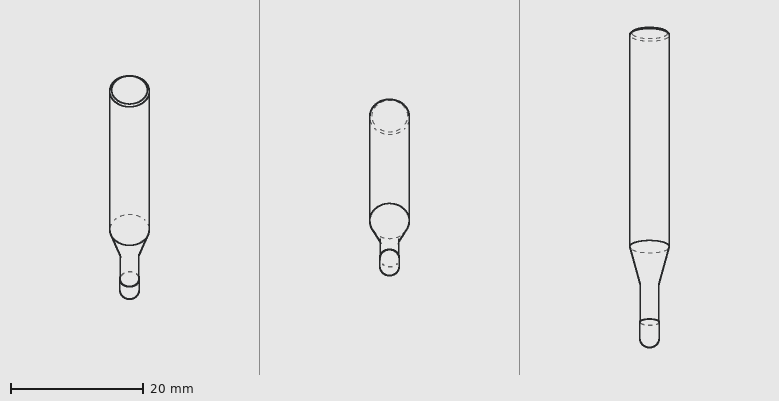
import cadquery as cq
import math

total_length = 50.0
shank_diameter = 6.0
head_diameter = 3.0
neck_diameter = 2.85

head_length = 4.0
neck_length = 6.0
taper_length = 6.0
shank_chamfer = 0.3

shank_radius = shank_diameter / 2
head_radius = head_diameter / 2
neck_radius = neck_diameter / 2
neck_end_z = head_length + neck_length
taper_end_z = neck_end_z + taper_length


def revolve_about_axis(half_profile):
    """Turn a closed half profile, drawn as (radius, z), about the Z axis."""
    return half_profile.revolve(360, (0, 0, 0), (0, 1, 0))


def make_cutting_head():
    """Cylinder with a hemispherical tip."""
    arc_offset = head_radius * math.sqrt(0.5)
    arc_middle = (arc_offset, head_radius - arc_offset)
    half_profile = (
        cq.Workplane("XZ")
        .moveTo(0, 0)
        .threePointArc(arc_middle, (head_radius, head_radius))
        .lineTo(head_radius, head_length)
        .lineTo(0, head_length)
        .close()
    )
    return revolve_about_axis(half_profile)


def make_neck():
    """Relieved cylinder behind the head, widening in a cone up to the shank."""
    half_profile = cq.Workplane("XZ").polyline([
        (0, head_length),
        (neck_radius, head_length),
        (neck_radius, neck_end_z),
        (shank_radius, taper_end_z),
        (0, taper_end_z),
    ]).close()
    return revolve_about_axis(half_profile)


def make_shank():
    """Plain clamping cylinder with a chamfered rear end."""
    return (
        cq.Workplane("XY", origin=(0, 0, taper_end_z))
        .circle(shank_radius)
        .extrude(total_length - taper_end_z)
        .faces(">Z")
        .chamfer(shank_chamfer)
    )


cutting_head = make_cutting_head()
neck = make_neck()
shank = make_shank()

result = cq.Compound.makeCompound([cutting_head.val(), neck.val(), shank.val()])